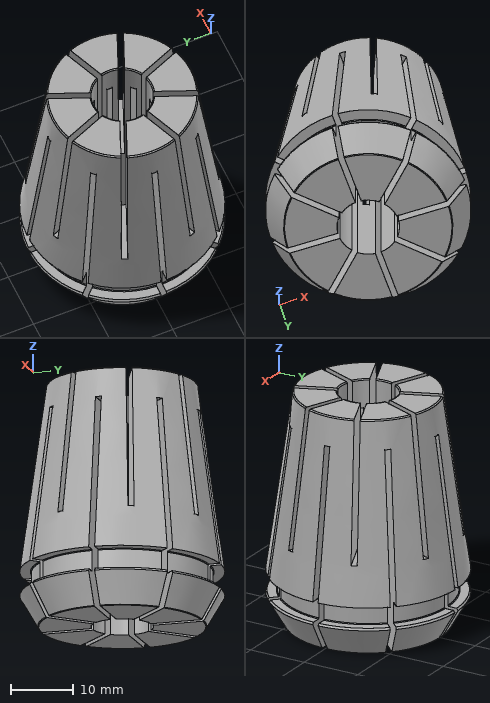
import cadquery as cq
import math

length = 40.0
big_diameter = 33.0
bore_diameter = 10.0
edge_break = 0.2
nose_edge_break = 0.1
rim_edge_break = 0.25

nut_cone_angle = 30.0
nose_radius = 13.5
groove_bottom = 5.5
groove_top = 9.1
groove_radius = 14.6
root_chamfer = 0.14

taper_angle = 8.0

slot_width = 1.0
slots_per_end = 8
nut_slot_top = 35.0
front_slot_bottom = 16.0

big_radius = big_diameter / 2
bore_radius = bore_diameter / 2
slot_pitch = 360.0 / slots_per_end

nut_slope = math.tan(math.radians(nut_cone_angle))
taper_slope = math.tan(math.radians(taper_angle))
rim_height = (big_radius - nose_radius) / nut_slope
front_radius = big_radius - (length - groove_top) * taper_slope


def make_body():
    """Revolved collet body with its bore, nut groove and broken edges."""
    profile = [
        (bore_radius, 0),
        (nose_radius - nose_edge_break, 0),
        (nose_radius + nose_edge_break * nut_slope, nose_edge_break),
        (big_radius, rim_height),
        (big_radius - rim_edge_break, groove_bottom),
        (groove_radius + root_chamfer, groove_bottom),
        (groove_radius, groove_bottom + root_chamfer),
        (groove_radius, groove_top - root_chamfer),
        (groove_radius + root_chamfer, groove_top),
        (big_radius, groove_top),
        (front_radius + edge_break * taper_slope, length - edge_break),
        (front_radius - edge_break, length),
        (bore_radius + edge_break, length),
        (bore_radius, length - edge_break),
    ]
    return cq.Workplane("XZ").polyline(profile).close().revolve(360, (0, 0), (0, 1))


def slot_cutters(bottom, top, first_angle):
    """Ring of radial blades running from the axis past the outside."""
    cutters = cq.Workplane("XY")
    blade = (
        cq.Workplane("XY", origin=(0, 0, bottom))
        .box(length, slot_width, top - bottom, centered=(False, True, False))
    )
    for i in range(slots_per_end):
        cutters = cutters.add(blade.rotate((0, 0, 0), (0, 0, 1), first_angle + i * slot_pitch))
    return cutters.combine()


result = make_body()
result = result.cut(slot_cutters(0, nut_slot_top, 0))
result = result.cut(slot_cutters(front_slot_bottom, length, slot_pitch / 2))